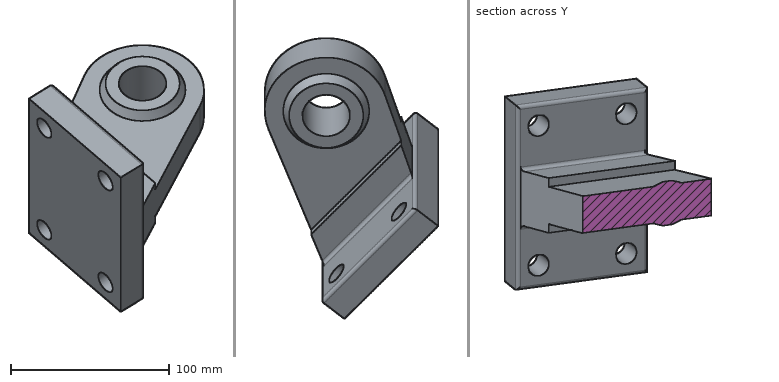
import cadquery as cq
import math

overall_depth = 128.9

plate_width = 90.0
plate_height = 124.0
plate_thickness = 20.0
plate_edge_radius = 2.5
bolt_diameter = 14.0
bolt_spacing_x = 60.0
bolt_spacing_z = 93.7

eye_x = -40.0
eye_radius = 38.9
eye_y = overall_depth - eye_radius
eye_thickness = 25.0
bore_diameter = 30.0

boss_base_radius = 27.2
boss_top_radius = 23.5
boss_span = 36.7

root_left_x = -42.8
root_right_x = 42.3
root_thickness = boss_span
root_end_y = 40.1
root_fillet_radius = 2.5


def tangent_point(root_x, side):
    """Point where a line from the arm root touches the eye; side is -1 for left, +1 for right."""
    dx = root_x - eye_x
    dy = plate_thickness - eye_y
    angle = math.atan2(dy, dx) + side * math.acos(eye_radius / math.hypot(dx, dy))
    return eye_x + eye_radius * math.cos(angle), eye_y + eye_radius * math.sin(angle)


def arm(thickness):
    """Teardrop arm, centred on Z = 0."""
    return (
        cq.Workplane("XY", origin=(0, 0, -thickness / 2))
        .moveTo(root_left_x, plate_thickness)
        .lineTo(root_right_x, plate_thickness)
        .lineTo(*tangent_point(root_right_x, 1))
        .threePointArc((eye_x, eye_y + eye_radius), tangent_point(root_left_x, -1))
        .close()
        .extrude(thickness)
    )


def boss():
    """Cone frustum on the upper face of the eye."""
    base_z = eye_thickness / 2
    return (
        cq.Workplane("XY", origin=(eye_x, eye_y, base_z))
        .circle(boss_base_radius)
        .workplane(offset=boss_span / 2 - base_z)
        .circle(boss_top_radius)
        .loft(ruled=True)
    )


plate = (
    cq.Workplane("XY")
    .box(plate_width, plate_thickness, plate_height, centered=(True, False, True))
    .faces(">Y")
    .edges()
    .fillet(plate_edge_radius)
)

half_root = root_thickness / 2
fillet_start_y = plate_thickness + root_fillet_radius
flare_z = half_root + root_fillet_radius
fillet_mid_offset = root_fillet_radius * math.sqrt(0.5)
fillet_mid_y = fillet_start_y - fillet_mid_offset
fillet_mid_z = flare_z - fillet_mid_offset
root_side_profile = (
    cq.Workplane("YZ")
    .moveTo(plate_thickness, -flare_z)
    .threePointArc((fillet_mid_y, -fillet_mid_z), (fillet_start_y, -half_root))
    .lineTo(root_end_y, -half_root)
    .lineTo(root_end_y, half_root)
    .lineTo(fillet_start_y, half_root)
    .threePointArc((fillet_mid_y, fillet_mid_z), (plate_thickness, flare_z))
    .close()
    .extrude(plate_width, both=True)
)
root = arm(2 * flare_z).intersect(root_side_profile)

body = plate.union(arm(eye_thickness)).union(root)

upper_boss = boss()
body = body.union(upper_boss).union(upper_boss.mirror("XY"))

bore = (
    cq.Workplane("XY", origin=(eye_x, eye_y, -boss_span))
    .circle(bore_diameter / 2)
    .extrude(2 * boss_span)
)

bolt_holes = (
    cq.Workplane("XZ")
    .rect(bolt_spacing_x, bolt_spacing_z, forConstruction=True)
    .vertices()
    .circle(bolt_diameter / 2)
    .extrude(-plate_thickness)
)

result = body.cut(bore).cut(bolt_holes)